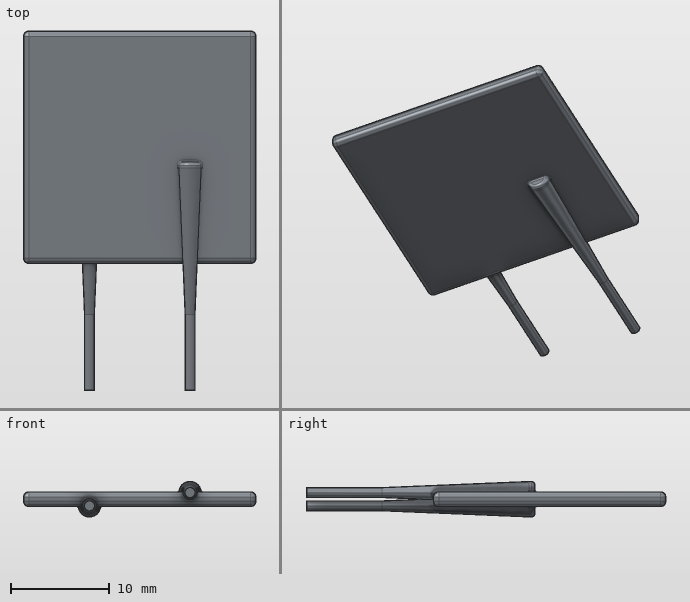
import cadquery as cq

plate_side = 23.5
plate_thickness = 1.5
plate_edge_radius = 0.55

overall_length = 36.3
overall_height = 3.6
lead_offset_x = 5.1
wire_radius = 0.5
head_radius = 1.13
head_round = 0.35
head_length = 0.58
head_end_y = -1.5
taper_end_y = -16.9
weld_radius = 0.18
selection_margin = 0.05

lead_offset_z = overall_height / 2 - head_radius
wire_end_y = plate_side / 2 - overall_length
taper_start_y = head_end_y - head_length


def make_plate():
    """Flat square plate with every edge rounded."""
    return cq.Workplane("XY").box(plate_side, plate_side, plate_thickness).edges().fillet(plate_edge_radius)


def make_lead(side):
    """Taper and wire revolved about one axis; side is 1 for the top face, -1 for the bottom."""
    profile = (
        cq.Workplane("YZ")
        .moveTo(taper_start_y, 0)
        .lineTo(taper_start_y, side * head_radius)
        .lineTo(taper_end_y, side * wire_radius)
        .lineTo(wire_end_y, side * wire_radius)
        .lineTo(wire_end_y, 0)
        .close()
    )
    lead = profile.revolve(360, (0, 0, 0), (1, 0, 0))
    return lead.translate((side * lead_offset_x, 0, side * lead_offset_z))


def make_welded_head(plate, side):
    """Round head with a concave weld fillet to the plate face.

    The head is made longer than needed, welded, then cut off square where the taper starts.
    """
    face_z = side * plate_thickness / 2
    axis_x = side * lead_offset_x
    axis_z = side * lead_offset_z
    long_head = 2 * head_length
    head = (
        cq.Workplane("XZ", origin=(axis_x, head_end_y, axis_z))
        .circle(head_radius)
        .extrude(long_head)
        .faces(">Y")
        .edges()
        .fillet(head_round)
    )
    joint = cq.selectors.BoxSelector(
        (axis_x - 2 * head_radius, head_end_y - long_head + selection_margin, face_z - selection_margin),
        (axis_x + 2 * head_radius, head_end_y + selection_margin, face_z + selection_margin),
    )
    welded = plate.union(head).edges(joint).fillet(weld_radius)
    keep_size = 4 * head_radius
    keep_zone = cq.Workplane("XY").box(keep_size, keep_size, keep_size, centered=(True, False, True))
    return welded.intersect(keep_zone.translate((axis_x, taper_start_y, axis_z)))


plate = make_plate()
result = plate
for side in (1, -1):
    result = result.union(make_welded_head(plate, side))
    result = result.union(make_lead(side))
result = result.clean()